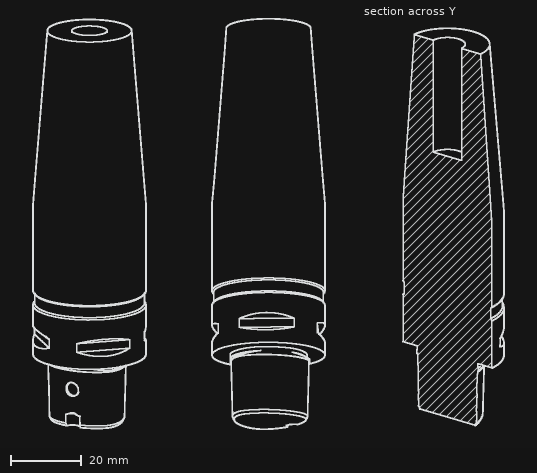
import cadquery as cq
import math

total_length = 114.0
shank_length = 19.0
body_radius = 16.02
nose_radius = 12.0
cone_bottom = 63.0
bore_diameter = 10.0
bore_depth = 34.2

groove_bottom = 33.5
groove_top = 37.7
groove_depth = 0.5
groove_lower_bevel = 0.6
groove_upper_bevel = 0.5

slot_bottom = 23.9
slot_floor_height = 2.5
slot_floor_distance = 14.0
slot_bevel = 1.3
slot_half_width = math.sqrt(body_radius**2 - slot_floor_distance**2)

lobe_mean_radius = 11.1
lobe_eccentricity = 0.7
taper_per_side = 1 / 40
collar_height = 2.3
collar_step = 0.2
end_chamfer = 0.9
relief_radius = 11.0
relief_height = 1.1
relief_bevel = 0.7

dimple_diameter = 4.0
dimple_height = 11.2
dimple_depth = 0.9
notch_width = 4.6
notch_height = 3.4
notch_point_height = 0.9
notch_axis_inset = 0.3


def lobed_wire(height, mean_radius):
    """Closed constant-width outline with one lobe towards +Y."""

    def point(t):
        angle = 2 * math.pi * t
        along = mean_radius * math.cos(angle) + lobe_eccentricity * (
            2 * math.cos(2 * angle) - math.cos(4 * angle)
        )
        across = mean_radius * math.sin(angle) - lobe_eccentricity * (
            2 * math.sin(2 * angle) + math.sin(4 * angle)
        )
        return (-across, along)

    curve = cq.Workplane("XY").workplane(offset=height).parametricCurve(point, N=72)
    return curve.wire().val()


def lobed_solid(bottom, bottom_radius, top, top_radius):
    wires = [lobed_wire(bottom, bottom_radius), lobed_wire(top, top_radius)]
    return cq.Workplane(cq.Solid.makeLoft(wires, True))


def make_body():
    groove_radius = body_radius - groove_depth
    profile = [
        (0, shank_length),
        (body_radius, shank_length),
        (body_radius, groove_bottom),
        (groove_radius, groove_bottom + groove_lower_bevel),
        (groove_radius, groove_top - groove_upper_bevel),
        (body_radius, groove_top),
        (body_radius, cone_bottom),
        (nose_radius, total_length),
        (0, total_length),
    ]
    return cq.Workplane("XZ").polyline(profile).close().revolve(360, (0, 0), (0, 1))


def make_shank():
    taper_length = shank_length - collar_height - end_chamfer
    tip_radius = lobe_mean_radius - taper_per_side * taper_length
    collar_bottom = shank_length - collar_height
    collar_radius = lobe_mean_radius + collar_step
    tip = lobed_solid(0, tip_radius - end_chamfer / 2, end_chamfer, tip_radius)
    taper = lobed_solid(end_chamfer, tip_radius, collar_bottom, lobe_mean_radius)
    collar = lobed_solid(collar_bottom, collar_radius, shank_length, collar_radius)
    return tip.union(taper).union(collar)


def make_relief():
    """Ring that trims the lobes directly below the flange."""
    relief_bottom = shank_length - relief_height
    profile = [
        (relief_radius, shank_length),
        (body_radius, shank_length),
        (body_radius, relief_bottom - relief_bevel * (body_radius - relief_radius)),
        (relief_radius, relief_bottom),
    ]
    return cq.Workplane("XZ").polyline(profile).close().revolve(360, (0, 0), (0, 1))


def make_gripper_slot():
    """Bevelled slot cutter on +X, running along Y."""
    outer = body_radius + 1.1
    flare = slot_bevel / (body_radius - slot_floor_distance) * (outer - slot_floor_distance)
    slot_top = slot_bottom + slot_floor_height
    profile = [
        (slot_floor_distance, slot_bottom),
        (outer, slot_bottom - flare),
        (outer, slot_top + flare),
        (slot_floor_distance, slot_top),
    ]
    return cq.Workplane("XZ").polyline(profile).close().extrude(slot_half_width, both=True)


def make_dimple():
    face_y = -(lobe_mean_radius - lobe_eccentricity)
    plane = cq.Workplane("XZ", origin=(0, face_y + dimple_depth, dimple_height))
    return plane.circle(dimple_diameter / 2).extrude(body_radius)


def make_notch():
    """Vertical half-round notch with a shallow conical end."""
    face_y = -(lobe_mean_radius - lobe_eccentricity)
    profile = [
        (0, 0),
        (notch_width / 2, 0),
        (notch_width / 2, notch_height),
        (0, notch_height + notch_point_height),
    ]
    cutter = cq.Workplane("XZ").polyline(profile).close().revolve(360, (0, 0), (0, 1))
    return cutter.translate((0, face_y + notch_axis_inset, 0))


shank = make_shank().cut(make_relief()).cut(make_dimple()).cut(make_notch())
result = make_body().union(shank)

for diagonal in (45, 135, 225, 315):
    result = result.cut(make_gripper_slot().rotate((0, 0, 0), (0, 0, 1), diagonal))

bore = cq.Workplane("XY", origin=(0, 0, total_length)).circle(bore_diameter / 2).extrude(-bore_depth)
result = result.cut(bore)